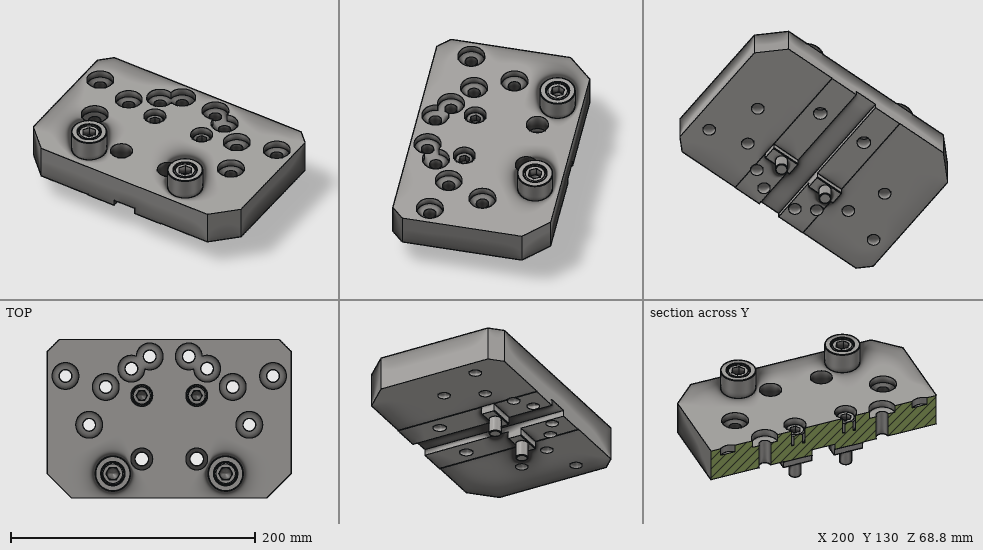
import cadquery as cq
import math

plate_length = 200.0
plate_width = 130.0
thickness_at_pad = 30.0
rear_chamfer = 10.0
front_chamfer = 20.0

pad_width = 70.0
pad_height = 0.5
plate_thickness = thickness_at_pad - pad_height
slot_width = 20.0
slot_depth = 5.5

key_length = (pad_width - slot_width) / 2
key_width = 12.0
key_height = 6.5
key_chamfer = 0.5
key_x = (slot_width + key_length) / 2
key_y = 19.0

key_screw_diameter = 10.0
key_screw_length = 13.8
key_screw_tip_chamfer = 0.5
key_head_diameter = 16.0
key_head_height = 10.0
key_hex = 8.0
key_hex_depth = 6.5

clearance_y = -33.0
clearance_diameter = 11.0
clearance_bore_diameter = 18.0
clearance_bore_depth = 15.0

mounting_points = [(85.0, 35.0), (65.5, -5.0), (52.0, 26.0), (31.0, 41.0), (16.0, 51.0)]
mounting_diameter = 10.2
mounting_bore_diameter = 22.0
mounting_bore_depth = 6.5

stop_x = 46.2
stop_y = -45.0
stop_diameter = 29.0
stop_height = 18.5
stop_chamfer = 0.5
stop_bore_diameter = 19.0
stop_bore_depth = 12.5
stop_head_diameter = 18.0
stop_head_height = 12.0
stop_hex = 10.0
stop_hex_depth = 7.5

head_chamfer = 1.0
hex_sides = 6
hex_tip_angle = 120.0

bottom_z = -plate_thickness
pad_z = bottom_z - pad_height
key_z = pad_z - key_height


def mirrored(points):
    """Return the points together with their mirror images about X = 0."""
    return points + [(-x, y) for x, y in points]


def rod(diameter, bottom, top):
    return cq.Workplane("XY").workplane(offset=bottom).circle(diameter / 2).extrude(top - bottom)


def socket_head(diameter, bottom, top, hex_size, hex_depth):
    """Cylindrical screw head with a hexagon socket that ends in a cone."""
    head = rod(diameter, bottom, top).faces(">Z").edges().chamfer(head_chamfer)
    hex_corners = hex_size / math.cos(math.pi / hex_sides)
    socket = cq.Workplane("XY").workplane(offset=top).polygon(hex_sides, hex_corners).extrude(-hex_depth)
    cone_height = hex_size / 2 / math.tan(math.radians(hex_tip_angle / 2))
    cone = cq.Solid.makeCone(
        hex_size / 2, 0, cone_height, pnt=cq.Vector(0, 0, top - hex_depth), dir=cq.Vector(0, 0, -1)
    )
    return head.cut(socket).cut(cq.Workplane(cone))


def block(length, width, bottom, height):
    return (
        cq.Workplane("XY")
        .workplane(offset=bottom)
        .rect(length, width)
        .extrude(height)
    )


def make_plate():
    plate = block(plate_length, plate_width, bottom_z, plate_thickness)
    plate = plate.edges("|Z and >Y").chamfer(rear_chamfer)
    plate = plate.edges("|Z and <Y").chamfer(front_chamfer)
    pad = block(pad_width, plate_width, pad_z, pad_height)
    slot = block(slot_width, plate_width, pad_z, slot_depth)
    return plate.union(pad).cut(slot)


def counterbored_hole(diameter, bore_diameter, bore_depth):
    return rod(diameter, pad_z, 0).union(rod(bore_diameter, -bore_depth, 0))


def make_key():
    key = block(key_length, key_width, key_z, key_height)
    return key.faces("<Z").edges("|X").chamfer(key_chamfer)


def make_key_screw():
    """Return the shank below the key and the head in the counterbore."""
    shank = rod(key_screw_diameter, key_z - key_screw_length, key_z)
    shank = shank.faces("<Z").edges().chamfer(key_screw_tip_chamfer)
    head_bottom = -clearance_bore_depth
    head_top = head_bottom + key_head_height
    head = socket_head(key_head_diameter, head_bottom, head_top, key_hex, key_hex_depth)
    return shank, head


def make_stop():
    bore_floor = stop_height - stop_bore_depth
    body = rod(stop_diameter, 0, stop_height)
    body = body.cut(rod(stop_bore_diameter, bore_floor, stop_height))
    body = body.faces("<Z or >Z").edges().chamfer(stop_chamfer)
    head_top = bore_floor + stop_head_height
    return body.union(socket_head(stop_head_diameter, bore_floor, head_top, stop_hex, stop_hex_depth))


result = make_plate()

mounting_hole = counterbored_hole(mounting_diameter, mounting_bore_diameter, mounting_bore_depth)
for x, y in mirrored(mounting_points):
    result = result.cut(mounting_hole.translate((x, y, 0)))

clearance_hole = counterbored_hole(clearance_diameter, clearance_bore_diameter, clearance_bore_depth)
for x, y in mirrored([(key_x, clearance_y)]):
    result = result.cut(clearance_hole.translate((x, y, 0)))

screw_bore = rod(clearance_bore_diameter, -clearance_bore_depth, 0)
key = make_key()
shank, head = make_key_screw()
for x, y in mirrored([(key_x, key_y)]):
    result = result.cut(screw_bore.translate((x, y, 0)))
    for piece in (key, shank, head):
        result = result.union(piece.translate((x, y, 0)))

stop = make_stop()
for x, y in mirrored([(stop_x, stop_y)]):
    result = result.union(stop.translate((x, y, 0)))